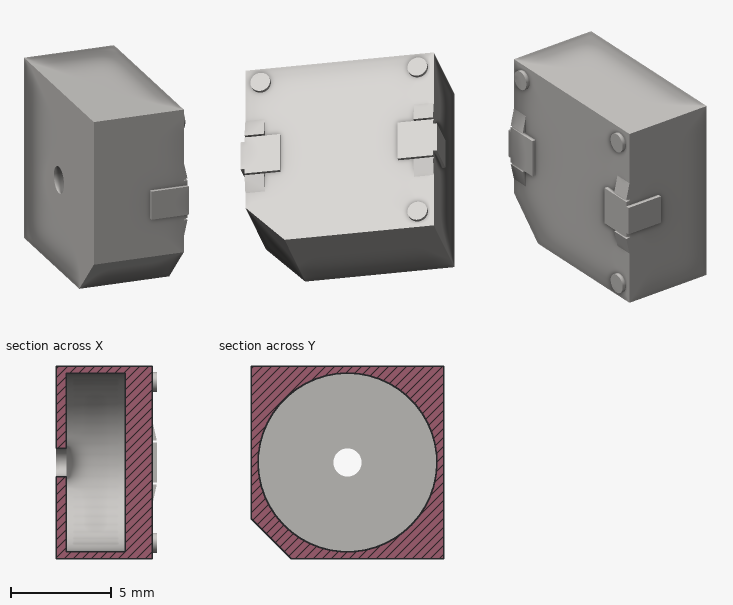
import cadquery as cq

HOUSING_SIDE = 9.6
HOUSING_DEPTH = 4.8
CORNER_CUT = 2.0
HALF_SIDE = HOUSING_SIDE / 2

SIDES = (-1, 1)

CHAMBER_DIAMETER = 8.87
SOUND_HOLE_DIAMETER = 1.4
FRONT_WALL = 0.5
CHAMBER_FLOOR = 3.42

SHEET = 0.2

TERMINAL_REACH = 2.0
TAB_WIDTH = 1.5
PAD_WIDTH = 2.0

FOOT_DIAMETER = 1.0
FOOT_OFFSET = 4.0
FOOT_PLACES = [(-FOOT_OFFSET, FOOT_OFFSET), (FOOT_OFFSET, FOOT_OFFSET), (-FOOT_OFFSET, -FOOT_OFFSET)]

WEDGE_GAP = 0.1
WEDGE_LENGTH = 0.9
WEDGE_WIDTH = 1.0


def cylinder_along_y(diameter, start, length, x=0.0, z=0.0):
    """Cylinder whose axis runs along +Y from Y = start."""
    base_center = cq.Vector(x, start, z)
    axis = cq.Vector(0, 1, 0)
    return cq.Workplane(cq.Solid.makeCylinder(diameter / 2, length, base_center, axis))


def block(x_range, y_range, z_range):
    """Box that fills the given ranges."""
    low, high = zip(x_range, y_range, z_range)
    size = [b - a for a, b in zip(low, high)]
    return cq.Workplane(cq.Solid.makeBox(*size, cq.Vector(*low)))


def make_foot(x, z):
    """Short round foot standing on the back of the housing."""
    return cylinder_along_y(FOOT_DIAMETER, HOUSING_DEPTH, SHEET, x, z)


def make_wedge(x_side, z_side):
    """Triangular wedge, flush with the side face of the housing."""
    steep_end = PAD_WIDTH / 2 + WEDGE_GAP
    profile = [
        (HOUSING_DEPTH, z_side * steep_end),
        (HOUSING_DEPTH + SHEET, z_side * steep_end),
        (HOUSING_DEPTH, z_side * (steep_end + WEDGE_LENGTH)),
    ]
    start = HALF_SIDE - WEDGE_WIDTH
    wedge = cq.Workplane("YZ", origin=(start, 0, 0)).polyline(profile).close().extrude(WEDGE_WIDTH)
    return wedge if x_side > 0 else wedge.mirror("YZ")


def make_housing():
    """Hollow block with one cut corner, a sound hole in front and feet and wedges on the back."""
    outline = [
        (-HALF_SIDE, -HALF_SIDE),
        (HALF_SIDE - CORNER_CUT, -HALF_SIDE),
        (HALF_SIDE, -HALF_SIDE + CORNER_CUT),
        (HALF_SIDE, HALF_SIDE),
        (-HALF_SIDE, HALF_SIDE),
    ]
    body = cq.Workplane("XZ").polyline(outline).close().extrude(-HOUSING_DEPTH)
    chamber = cylinder_along_y(CHAMBER_DIAMETER, FRONT_WALL, CHAMBER_FLOOR - FRONT_WALL)
    sound_hole = cylinder_along_y(SOUND_HOLE_DIAMETER, 0, FRONT_WALL)
    body = body.cut(chamber).cut(sound_hole)
    for x, z in FOOT_PLACES:
        body = body.union(make_foot(x, z))
    for x_side in SIDES:
        for z_side in SIDES:
            body = body.union(make_wedge(x_side, z_side))
    return body.clean()


def make_terminal(side):
    """L-shaped terminal on the -X (side = -1) or +X (side = 1) face."""
    outer = HALF_SIDE + SHEET
    back = HOUSING_DEPTH + SHEET
    tab = block((HALF_SIDE, outer), (back - TERMINAL_REACH, back), (-TAB_WIDTH / 2, TAB_WIDTH / 2))
    pad = block((outer - TERMINAL_REACH, HALF_SIDE), (HOUSING_DEPTH, back), (-PAD_WIDTH / 2, PAD_WIDTH / 2))
    terminal = tab.union(pad)
    return terminal if side > 0 else terminal.mirror("YZ")


housing = make_housing()
terminals = [make_terminal(side) for side in SIDES]
result = cq.Compound.makeCompound([housing.val(), *[terminal.val() for terminal in terminals]])